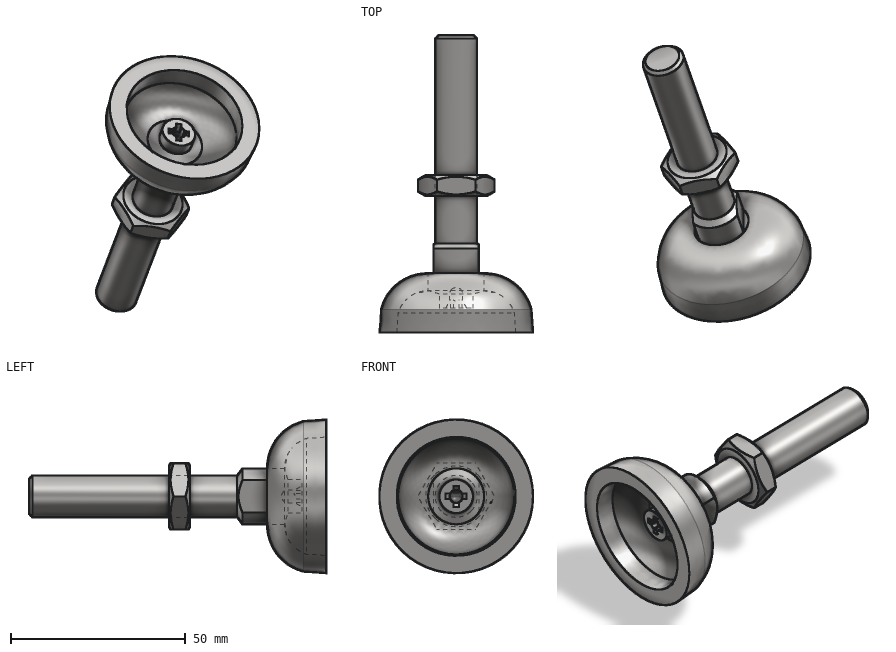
import math

import cadquery as cq


cup_radius = 22.0
cup_height = 17.0
wall = 5.0
wall_draft = 4.0
dome_centre_radius = 8.0
dome_radius = 14.0

rod_radius = 6.0
rod_end = 85.0
rod_chamfer = 1.0
collar_radius = dome_centre_radius
collar_start = cup_height - wall
collar_end = 25.5
collar_chamfer_length = 1.5
collar_flats = 13.0
tail_radius = 4.8
tail_start = 7.0
collar_face_radius = 22.0

recess_radius = 1.85
recess_depth = 4.0
slot_reach = 3.0
slot_width = 1.5
slot_floor_angle = 60.0

nut_flats = 19.0
nut_start = 39.0
nut_thickness = 6.0
nut_face_radius = 8.7
nut_chamfer_angle = 30.0


def dome_edge(base_radius, centre_height, radius):
    """Radius and height where a drafted wall rising from Y = 0 meets the dome arc."""
    slope = math.tan(math.radians(wall_draft))
    reach = base_radius - dome_centre_radius
    a = 1 + slope**2
    b = -2 * (reach * slope + centre_height)
    c = reach**2 + centre_height**2 - radius**2
    height = (-b + math.sqrt(b**2 - 4 * a * c)) / (2 * a)
    return base_radius - slope * height, height


def dome_middle(centre_height, radius, edge):
    """Point halfway along the dome arc between its edge and its top."""
    edge_angle = math.atan2(edge[1] - centre_height, edge[0] - dome_centre_radius)
    angle = (edge_angle + math.pi / 2) / 2
    return (
        dome_centre_radius + radius * math.cos(angle),
        centre_height + radius * math.sin(angle),
    )


def revolve_about_rod(profile):
    return profile.close().revolve(360, (0, 0, 0), (0, 1, 0))


def make_cup():
    centre_height = cup_height - dome_radius
    inner_base = cup_radius - wall
    inner_dome = dome_radius - wall
    outer_edge = dome_edge(cup_radius, centre_height, dome_radius)
    inner_edge = dome_edge(inner_base, centre_height, inner_dome)
    profile = (
        cq.Workplane("XY")
        .moveTo(inner_base, 0)
        .lineTo(cup_radius, 0)
        .lineTo(*outer_edge)
        .threePointArc(
            dome_middle(centre_height, dome_radius, outer_edge),
            (dome_centre_radius, cup_height),
        )
        .lineTo(dome_centre_radius, cup_height - wall)
        .threePointArc(dome_middle(centre_height, inner_dome, inner_edge), inner_edge)
    )
    return revolve_about_rod(profile)


def make_recess():
    """Round-bottomed hole with four square-ended slots that slope in towards the rod axis."""
    recess_bottom = tail_start + recess_depth
    hole = (
        cq.Workplane("XZ", origin=(0, tail_start, 0))
        .circle(recess_radius)
        .extrude(-recess_depth)
    )
    floor = cq.Workplane("XY").sphere(recess_radius).translate((0, recess_bottom, 0))
    slot_floor_reach = slot_reach - recess_depth / math.tan(math.radians(slot_floor_angle))
    slot = (
        cq.Workplane("XY")
        .polyline(
            [
                (-slot_reach, tail_start),
                (slot_reach, tail_start),
                (slot_floor_reach, recess_bottom),
                (-slot_floor_reach, recess_bottom),
            ]
        )
        .close()
        .extrude(slot_width / 2, both=True)
    )
    return hole.union(floor).union(slot).union(slot.rotate((0, 0, 0), (0, 1, 0), 90))


def collar_face_height(radius):
    """Height of the collar's gently domed lower face at a radius from the rod axis."""
    rim_offset = math.sqrt(collar_face_radius**2 - collar_radius**2)
    return collar_start + rim_offset - math.sqrt(collar_face_radius**2 - radius**2)


def make_stud():
    face_middle = (collar_radius + tail_radius) / 2
    profile = (
        cq.Workplane("XY")
        .moveTo(0, tail_start)
        .lineTo(tail_radius, tail_start)
        .lineTo(tail_radius, collar_face_height(tail_radius))
        .threePointArc((face_middle, collar_face_height(face_middle)), (collar_radius, collar_start))
        .lineTo(collar_radius, collar_end - collar_chamfer_length)
        .lineTo(rod_radius, collar_end)
        .lineTo(rod_radius, rod_end - rod_chamfer)
        .lineTo(rod_radius - rod_chamfer, rod_end)
        .lineTo(0, rod_end)
    )
    stud = revolve_about_rod(profile)
    flat_cut_depth = collar_radius - collar_flats / 2
    flat_length = collar_end - cup_height
    for side in (-1, 1):
        flat = cq.Workplane("XY").box(flat_cut_depth, flat_length, 2 * collar_radius)
        offset = (collar_flats + flat_cut_depth) / 2
        stud = stud.cut(flat.translate((side * offset, cup_height + flat_length / 2, 0)))
    return stud.cut(make_recess())


def make_nut():
    corner_radius = nut_flats / math.sqrt(3)
    chamfer_rise = (corner_radius - nut_face_radius) * math.tan(math.radians(nut_chamfer_angle))
    nut_end = nut_start + nut_thickness
    hexagon = (
        cq.Workplane("XZ", origin=(0, nut_start, 0))
        .polygon(6, 2 * corner_radius)
        .extrude(-nut_thickness)
    )
    chamfered_ring = revolve_about_rod(
        cq.Workplane("XY")
        .moveTo(rod_radius, nut_start)
        .lineTo(nut_face_radius, nut_start)
        .lineTo(corner_radius, nut_start + chamfer_rise)
        .lineTo(corner_radius, nut_end - chamfer_rise)
        .lineTo(nut_face_radius, nut_end)
        .lineTo(rod_radius, nut_end)
    )
    return hexagon.intersect(chamfered_ring)


cup = make_cup()
stud = make_stud()
nut = make_nut()

result = cq.Compound.makeCompound([cup.val(), stud.val(), nut.val()])